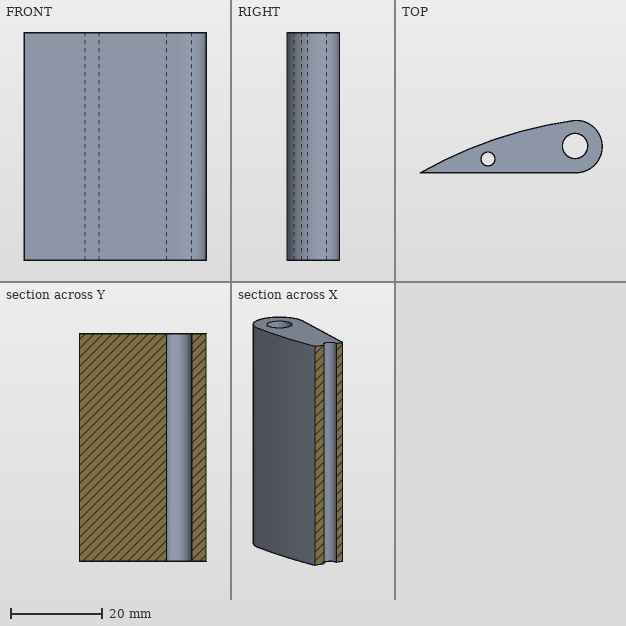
import cadquery as cq

chord = 40.0
thickness = 11.55
span = 50.0

mid_y = thickness / 2
nose_x = 34.0

back_mid_x = 15.85
back_mid_y = 7.2

pivot_y = 5.9
pivot_diameter = 5.5
pin_diameter = 3.0
pin_x = 14.9
pin_y = 3.05


def vane_body():
    """Airfoil-like section with a flat face, extruded along the span."""
    return (
        cq.Workplane("XY")
        .lineTo(nose_x, 0)
        .threePointArc((chord, mid_y), (nose_x, thickness))
        .threePointArc((back_mid_x, back_mid_y), (0, 0))
        .close()
        .extrude(span)
    )


def spanwise_hole(x, y, diameter):
    """Cutter for a round hole running the full span."""
    return cq.Workplane("XY").center(x, y).circle(diameter / 2).extrude(span)


result = (
    vane_body()
    .cut(spanwise_hole(nose_x, pivot_y, pivot_diameter))
    .cut(spanwise_hole(pin_x, pin_y, pin_diameter))
)